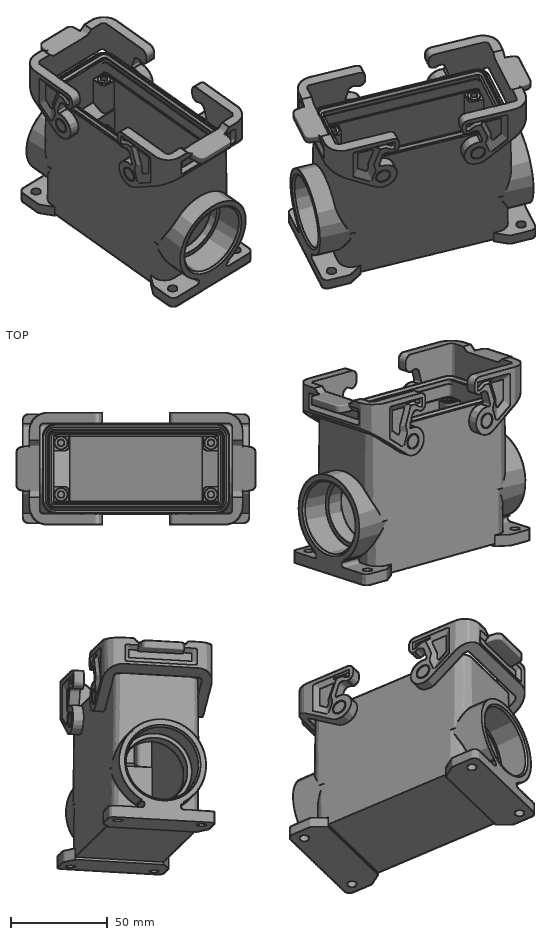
import cadquery as cq
import math

total_height = 96.8
total_length = 124.0

rim_z = 79.7
rim_half_x = 48.0
rim_half_y = 22.7
body_bottom_z = 1.4
body_draft_deg = 0.6
corner_radius = 7.2
lower_inset_x = 2.2
floor_z = 4.3
body_height = rim_z - body_bottom_z
body_growth = body_height * math.tan(math.radians(body_draft_deg))

ridge_half_x = 46.7
ridge_half_y = 21.5
ridge_width = 2.9
ridge_height = 1.4
ridge_corner = 5.0
ridge_slope_deg = 40.0

opening_half_y = 18.2
opening_depth = 2.2
mouth_half_x = 42.7
mouth_half_y = 17.7
mouth_corner = 1.9
well_half_y = 16.9
well_half_x = 34.2
shelf_z = 50.8
shelf_rise = 3.7

column_top_z = 70.8
column_x = 38.8
column_y = 13.4
column_half = 4.1
column_edge_radius = 2.5
collar_radius = 3.3
collar_height = 0.5
screw_hole_radius = 1.7
screw_hole_depth = 14.9

port_z = 30.4
port_end_x = 58.7
port_radius = 23.2
thread_radius = 19.2
thread_chamfer = 1.0
thread_depth = 15.5
inner_bore_radius = 17.0
blind_bore_depth = 19.8

foot_height = 6.1
foot_half_y = 28.3
foot_inner_x = 36.6
foot_bevel_x = 7.2
foot_corner = 3.1
foot_hole_x = 52.1
foot_hole_y = 22.3
foot_hole_radius = 2.5
web_half_y = 9.7
web_top_z = 11.2
web_relief_radius = 1.6

lever_outer_x = 55.2
lever_inner_x = 49.8
lever_outer_y = 29.0
lever_inner_y = 23.4
lever_corner = 9.3
lever_inner_corner = 2.2
lever_end_bottom_z = 82.8
pivot_x = 26.0
pivot_z = 71.8
pivot_radius = 7.6
pin_radius = 4.0
pin_groove = 0.2
hook_tip_x = 17.4
hook_radius = 3.6
hook_lower_centre_z = 90.8
neck_start = (-22.8, 88.0)
neck_middle = (-25.2, 87.9)
neck_end = (-26.7, 86.0)
arm_foot_start = (-28.3, 80.6)
arm_foot_middle = (-28.1, 79.9)
arm_foot_end = (-27.4, 79.2)
side_pocket_depth = 1.7
pocket_mouth_radius = 1.2
pocket_floor_radius = 0.5
tip_pocket_depth = 1.2
tip_mouth_radius = 0.4
tip_floor_radius = 0.1

end_pocket_half_y = 19.2
end_pocket_bottom_z = 84.3
end_pocket_top_z = 93.2
end_pocket_depth = 1.7
end_pocket_bevel = 2.4

tab_top_z = 94.5
tab_thickness = 4.2
tab_root_half_y = 12.6
tab_tip_half_y = 10.9
tab_corner = 3.0
tab_edge_radius = 0.6
tab_notch_bottom_half_y = 11.9
tab_notch_top_half_y = 14.8
tab_notch_radius = 1.2


def rounded_block(half_x, half_y, radius, bottom, height, taper=0.0):
    """Upright block centred on the Z axis, with rounded vertical edges."""
    sketch = cq.Sketch().rect(2 * half_x, 2 * half_y).vertices().fillet(radius)
    return cq.Workplane("XY", origin=(0, 0, bottom)).placeSketch(sketch).extrude(height, taper=taper)


def x_cylinder(radius, start, end):
    """Cylinder on the port axis between two X positions."""
    return cq.Workplane("YZ", origin=(start, 0, port_z)).circle(radius).extrude(end - start)


def both_ends(shape):
    """The shape together with its mirror image at the other X end."""
    return shape.union(shape.mirror("YZ"))


def both_sides(shape):
    """The shape together with its mirror image at the other Y side."""
    return shape.union(shape.mirror("XZ"))


def make_body():
    """Solid drafted body before it is hollowed."""
    base_x, base_y = rim_half_x + body_growth, rim_half_y + body_growth
    full = rounded_block(base_x, base_y, corner_radius, body_bottom_z, body_height, body_draft_deg)
    narrow = rounded_block(
        base_x - lower_inset_x, base_y, corner_radius, body_bottom_z, body_height, body_draft_deg
    )
    port_plane = cq.Workplane("XY", origin=(0, 0, port_z))
    above_port = port_plane.rect(total_length, total_length).extrude(total_height)
    return narrow.union(full.intersect(above_port))


def make_ridge():
    """Ridge with sloping sides that runs around the rim."""
    ridge = rounded_block(ridge_half_x, ridge_half_y, ridge_corner, rim_z, ridge_height, ridge_slope_deg)
    opening_x = ridge_half_x - ridge_width
    opening_y = ridge_half_y - ridge_width
    opening = rounded_block(
        opening_x, opening_y, ridge_corner - ridge_width, rim_z, ridge_height, -ridge_slope_deg
    )
    return ridge.cut(opening)


def make_cavity():
    """Wide mouth over a narrower well, with sloping shelves at the ends of the well."""
    mouth = rounded_block(mouth_half_x, mouth_half_y, mouth_corner, column_top_z, rim_z - column_top_z)
    well_outline = [
        (-mouth_half_x, column_top_z),
        (-mouth_half_x, shelf_z + shelf_rise),
        (-well_half_x, shelf_z),
        (-well_half_x, floor_z),
        (well_half_x, floor_z),
        (well_half_x, shelf_z),
        (mouth_half_x, shelf_z + shelf_rise),
        (mouth_half_x, column_top_z),
    ]
    well = cq.Workplane("XZ").polyline(well_outline).close().extrude(well_half_y, both=True)
    opening = rounded_block(mouth_half_x, opening_half_y, mouth_corner, rim_z - opening_depth, opening_depth)
    return mouth.union(well).union(opening)


def make_columns():
    """Four corner columns, each with a round collar and a screw hole on top."""
    bottom = shelf_z
    inner_x = column_x - column_half
    inner_y = column_y - column_half
    column = (
        cq.Workplane("XY", origin=(0, 0, bottom))
        .moveTo(-mouth_half_x, -mouth_half_y)
        .lineTo(-inner_x, -mouth_half_y)
        .lineTo(-inner_x, -inner_y - column_edge_radius)
        .radiusArc((-inner_x - column_edge_radius, -inner_y), -column_edge_radius)
        .lineTo(-mouth_half_x, -inner_y)
        .close()
        .extrude(column_top_z - collar_height - bottom)
    )
    top = cq.Workplane("XY", origin=(-column_x, -column_y, column_top_z))
    column = column.union(top.circle(collar_radius).extrude(-2 * collar_height))
    column = column.cut(top.circle(screw_hole_radius).extrude(-screw_hole_depth))
    return both_ends(both_sides(column))


def make_port_bore(bore_end_x):
    """Threaded mouth and smaller inner bore of the port at the -X end."""
    shoulder_x = -port_end_x + thread_depth
    thread = x_cylinder(thread_radius, -port_end_x, shoulder_x)
    mouth = cq.Workplane(
        cq.Solid.makeCone(
            thread_radius + thread_chamfer,
            thread_radius,
            thread_chamfer,
            cq.Vector(-port_end_x, 0, port_z),
            cq.Vector(1, 0, 0),
        )
    )
    return thread.union(mouth).union(x_cylinder(inner_bore_radius, shoulder_x, bore_end_x))


def make_foot():
    """Foot plate at the -X end, with bevelled inner corners and two screw holes."""
    body_half_y = rim_half_y + body_growth
    bevel_x = foot_inner_x + foot_bevel_x
    outline = [
        (-port_end_x, -foot_half_y),
        (-bevel_x, -foot_half_y),
        (-foot_inner_x, -body_half_y),
        (-foot_inner_x, body_half_y),
        (-bevel_x, foot_half_y),
        (-port_end_x, foot_half_y),
    ]
    plate = cq.Workplane("XY").polyline(outline).close().extrude(foot_height)
    plate = plate.edges("|Z and (not >X)").fillet(foot_corner)
    holes = (
        cq.Workplane("XY")
        .pushPoints([(-foot_hole_x, -foot_hole_y), (-foot_hole_x, foot_hole_y)])
        .circle(foot_hole_radius)
        .extrude(foot_height)
    )
    return plate.cut(holes)


def make_web():
    """Upright web that joins the port to the foot, waisted by two round grooves."""
    half_y = web_half_y + web_relief_radius
    length = port_end_x - foot_inner_x
    web = cq.Workplane("XY", origin=(-port_end_x, 0, 0)).box(
        length, 2 * half_y, web_top_z, centered=(False, True, False)
    )
    grooves = (
        cq.Workplane("YZ", origin=(-port_end_x, 0, foot_height + web_relief_radius))
        .pushPoints([(-half_y, 0), (half_y, 0)])
        .circle(web_relief_radius)
        .extrude(length)
    )
    return web.cut(grooves)


def make_lever_profile():
    """Side outline of the lever at the -X end, carried through the full width in Y."""
    run = lever_outer_x - pivot_x
    rise = lever_end_bottom_z - pivot_z
    tangent_angle = math.atan2(rise, -run) + math.acos(pivot_radius / math.hypot(run, rise))
    tangent_point = (
        -pivot_x + pivot_radius * math.cos(tangent_angle),
        pivot_z + pivot_radius * math.sin(tangent_angle),
    )
    diag = hook_radius * math.sqrt(0.5)
    hook_x = -hook_tip_x - hook_radius
    top_z = total_height - hook_radius
    low_z = hook_lower_centre_z
    hook = (
        cq.Workplane("XZ")
        .moveTo(-lever_outer_x, total_height)
        .lineTo(hook_x, total_height)
        .threePointArc((hook_x + diag, top_z + diag), (-hook_tip_x, top_z))
        .lineTo(-hook_tip_x, low_z)
        .threePointArc((hook_x + diag, low_z - diag), (hook_x, low_z - hook_radius))
        .lineTo(*neck_start)
        .threePointArc(neck_middle, neck_end)
        .lineTo(*arm_foot_start)
        .threePointArc(arm_foot_middle, arm_foot_end)
        .lineTo(-pivot_x, pivot_z)
        .lineTo(*tangent_point)
        .lineTo(-lever_outer_x, lever_end_bottom_z)
        .close()
        .extrude(lever_outer_y, both=True)
    )
    disc = (
        cq.Workplane("XZ")
        .center(-pivot_x, pivot_z)
        .circle(pivot_radius)
        .extrude(lever_outer_y, both=True)
    )
    return hook.union(disc)


def make_lever_plan():
    """U-shaped plan of the lever: rounded outside, open toward the middle of the part."""
    plan = rounded_block(lever_outer_x, lever_outer_y, lever_corner, 0, total_height)
    return plan.cut(rounded_block(lever_inner_x, lever_inner_y, lever_inner_corner, 0, total_height))


def rounded_polygon(points, radius):
    """Closed polygon with every corner rounded."""
    return cq.Sketch().polygon(points + points[:1]).vertices().fillet(radius)


def loft_pocket(plane, origin, mouth, floor, depth, mouth_radius, floor_radius):
    """Pocket with sloping walls, from a mouth outline down to a smaller floor outline."""
    mouth_sketch = rounded_polygon(mouth, mouth_radius)
    floor_sketch = rounded_polygon(floor, floor_radius).moved(cq.Location(cq.Vector(0, 0, -depth)))
    return cq.Workplane(plane, origin=origin).placeSketch(mouth_sketch, floor_sketch).loft(ruled=True)


def make_side_pockets():
    """Bevelled recess behind the hook arm, plus the narrow recess in the hook tip."""
    face = (0, -lever_outer_y, 0)
    arm_mouth = [(-42.4, 94.1), (-26.8, 94.1), (-31.2, 81.8), (-30.1, 77.3), (-32.7, 69.9), (-42.4, 76.6)]
    arm_floor = [(-39.3, 91.0), (-30.4, 91.0), (-33.9, 81.5), (-33.7, 78.7), (-34.7, 76.5), (-39.3, 80.1)]
    arm = loft_pocket(
        "XZ", face, arm_mouth, arm_floor, side_pocket_depth, pocket_mouth_radius, pocket_floor_radius
    )
    tip_mouth = [(-29.8, 94.1), (-19.6, 94.1), (-19.6, 89.4), (-21.5, 89.5), (-24.5, 91.6), (-29.8, 91.6)]
    tip_floor = [(-29.8, 93.7), (-20.6, 93.2), (-20.5, 91.1), (-21.3, 91.1), (-24.5, 93.0), (-29.8, 93.0)]
    tip = loft_pocket("XZ", face, tip_mouth, tip_floor, tip_pocket_depth, tip_mouth_radius, tip_floor_radius)
    return both_sides(arm.union(tip))


def make_end_pocket():
    """Bevelled rectangular recess in the end wall, behind the finger tab."""
    def rectangle(inset):
        half_y = end_pocket_half_y - inset
        low = end_pocket_bottom_z + inset
        high = end_pocket_top_z - inset
        return [(-half_y, low), (half_y, low), (half_y, high), (-half_y, high)]

    origin = (-lever_outer_x, 0, 0)
    mouth, floor = rectangle(0), rectangle(end_pocket_bevel)
    return loft_pocket(
        "YZ", origin, mouth, floor, -end_pocket_depth, pocket_mouth_radius, pocket_floor_radius
    )


def make_tab_notch():
    """Notch in the top of the end wall that makes the tab flush through to the inside."""
    outline = [
        (-tab_notch_top_half_y, total_height),
        (-tab_notch_bottom_half_y, tab_top_z),
        (tab_notch_bottom_half_y, tab_top_z),
        (tab_notch_top_half_y, total_height),
    ]
    length = lever_outer_x - lever_inner_x
    notch = cq.Workplane("YZ", origin=(-lever_outer_x, 0, 0)).polyline(outline).close().extrude(length)
    return notch.edges("|X and <Z").fillet(tab_notch_radius)


def make_tab():
    """Tapering finger tab that sticks out of the end wall."""
    tip_x = -total_length / 2
    outline = [
        (-lever_inner_x, -tab_root_half_y),
        (tip_x, -tab_tip_half_y),
        (tip_x, tab_tip_half_y),
        (-lever_inner_x, tab_root_half_y),
    ]
    tab = cq.Workplane("XY", origin=(0, 0, tab_top_z)).polyline(outline).close().extrude(-tab_thickness)
    tab = tab.edges("|Z and <X").fillet(tab_corner)
    return tab.faces("<X").edges(">Z or <Z").fillet(tab_edge_radius)


def make_pin_groove():
    """Thin ring groove around each pivot pin on the outside of the lever."""
    ring = (
        cq.Workplane("XZ", origin=(-pivot_x, -lever_outer_y, pivot_z))
        .circle(pin_radius)
        .circle(pin_radius - pin_groove)
        .extrude(-pin_groove)
    )
    return both_sides(ring)


def make_pivot_pins():
    """Pins that carry the lever arms on the side walls of the body."""
    pin = cq.Workplane("XZ", origin=(-pivot_x, -mouth_half_y, pivot_z)).circle(pin_radius)
    wall_gap = lever_inner_y - mouth_half_y
    return both_sides(pin.extrude(wall_gap))


def make_lever():
    lever = make_lever_profile().intersect(make_lever_plan())
    lever = lever.cut(make_side_pockets()).cut(make_end_pocket()).cut(make_tab_notch())
    return lever.union(make_tab()).cut(make_pin_groove())


outside = make_body()
outside = outside.union(both_ends(x_cylinder(port_radius, -port_end_x, -well_half_x)))
outside = outside.union(both_ends(make_foot())).union(both_ends(make_web()))

open_bore = make_port_bore(-well_half_x)
closed_bore = make_port_bore(-port_end_x + blind_bore_depth).mirror("YZ")

housing = outside.cut(make_cavity()).cut(open_bore).cut(closed_bore)
housing = housing.union(make_columns()).union(make_ridge())
result = housing.union(both_ends(make_pivot_pins())).union(both_ends(make_lever()))